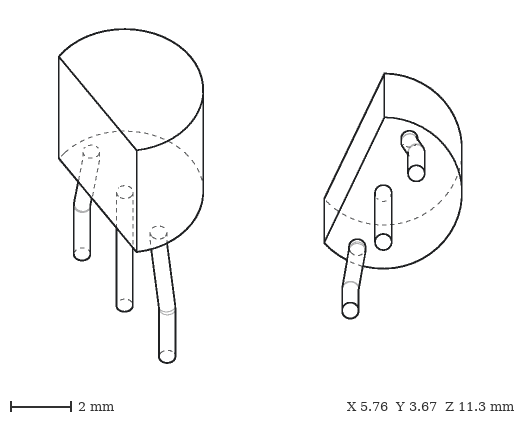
import cadquery as cq
import math

total_height = 11.3
total_width = 5.76
total_depth = 3.67

housing_radius = 2.61
housing_bottom = 5.95
flat_y = housing_radius - total_depth

lead_diameter = 0.55
lead_root_x = 2.06
lead_tip_x = (total_width - lead_diameter) / 2
bend_radius = 0.56
upper_bend_z = 5.64
lower_bend_z = 2.54


def make_housing():
    """D-shaped housing with a rounded back and a flat front."""
    flat_half_width = math.sqrt(housing_radius**2 - flat_y**2)
    return (
        cq.Workplane("XY", origin=(0, 0, housing_bottom))
        .moveTo(-flat_half_width, flat_y)
        .threePointArc((0, housing_radius), (flat_half_width, flat_y))
        .close()
        .extrude(total_height - housing_bottom)
    )


def make_straight_lead():
    """Centre lead, from its tip up to the underside of the housing."""
    return cq.Workplane("XY").circle(lead_diameter / 2).extrude(housing_bottom)


def crank_angle():
    """Tilt of the sloping part, tangent to both equal bends of an S-shaped crank."""
    offset = lead_tip_x - lead_root_x
    drop = upper_bend_z - lower_bend_z
    centre_offset = 2 * bend_radius - offset
    centre_distance = math.hypot(drop, centre_offset)
    return math.atan2(drop, centre_offset) - math.acos(2 * bend_radius / centre_distance)


def make_cranked_lead(side):
    """Outer lead swept along its centre line; side is -1 for -X or +1 for +X."""
    angle = crank_angle()

    def bend_offset(turn):
        """Sideways shift and height change along a bend after a given turn."""
        return bend_radius * (1 - math.cos(turn)), bend_radius * math.sin(turn)

    mid_shift, mid_rise = bend_offset(angle / 2)
    end_shift, end_rise = bend_offset(angle)
    path = (
        cq.Workplane("XZ")
        .moveTo(side * lead_tip_x, 0)
        .lineTo(side * lead_tip_x, lower_bend_z)
        .threePointArc(
            (side * (lead_tip_x - mid_shift), lower_bend_z + mid_rise),
            (side * (lead_tip_x - end_shift), lower_bend_z + end_rise),
        )
        .lineTo(side * (lead_root_x + end_shift), upper_bend_z - end_rise)
        .threePointArc(
            (side * (lead_root_x + mid_shift), upper_bend_z - mid_rise),
            (side * lead_root_x, upper_bend_z),
        )
        .lineTo(side * lead_root_x, housing_bottom)
    )
    return (
        cq.Workplane("XY", origin=(side * lead_tip_x, 0, 0))
        .circle(lead_diameter / 2)
        .sweep(path)
    )


housing = make_housing()
straight_lead = make_straight_lead()
cranked_leads = [make_cranked_lead(side) for side in (-1, 1)]

result = cq.Compound.makeCompound(
    [housing.val(), straight_lead.val(), *[lead.val() for lead in cranked_leads]]
)